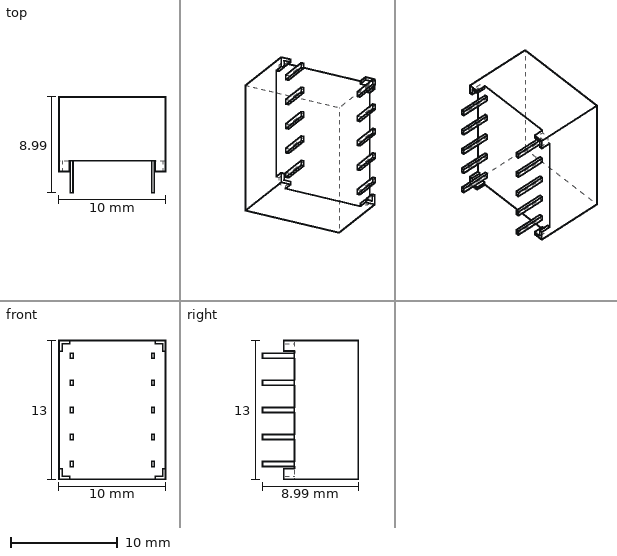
import cadquery as cq

HOUSING_WIDTH = 10.0
HOUSING_HEIGHT = 13.0
HOUSING_DEPTH = 5.99

FOOT_LENGTH = 1.0
FOOT_ARM = 1.0
FOOT_THICKNESS = 0.3

PIN_WIDTH = 0.27
PIN_HEIGHT = 0.5
PIN_LENGTH = 3.0
PINS_PER_COLUMN = 5
PIN_PITCH = 2.54
COLUMN_SPACING = 7.62


def face_box(width, height, length):
    """Box centred on X and Z, from the mounting face toward -Y (toward +Y if length is negative)."""
    return cq.Workplane("XZ").rect(width, height).extrude(length)


def housing_block():
    """Plain rectangular block on the +Y side of the mounting face."""
    return face_box(HOUSING_WIDTH, HOUSING_HEIGHT, -HOUSING_DEPTH)


def corner_feet():
    """Thin rim around the mounting face, kept only at its four corners."""
    rim = face_box(HOUSING_WIDTH, HOUSING_HEIGHT, FOOT_LENGTH)
    inner_width = HOUSING_WIDTH - 2 * FOOT_THICKNESS
    inner_height = HOUSING_HEIGHT - 2 * FOOT_THICKNESS
    inside = face_box(inner_width, inner_height, FOOT_LENGTH)
    upright_gap = face_box(HOUSING_WIDTH, HOUSING_HEIGHT - 2 * FOOT_ARM, FOOT_LENGTH)
    level_gap = face_box(HOUSING_WIDTH - 2 * FOOT_ARM, HOUSING_HEIGHT, FOOT_LENGTH)
    return rim.cut(inside).cut(upright_gap).cut(level_gap)


def pin_rows():
    """Flat pins in a regular grid of two columns."""
    return (
        cq.Workplane("XZ")
        .rarray(COLUMN_SPACING, PIN_PITCH, 2, PINS_PER_COLUMN)
        .rect(PIN_WIDTH, PIN_HEIGHT)
        .extrude(PIN_LENGTH)
    )


housing = housing_block().union(corner_feet()).union(pin_rows())

result = cq.Compound.makeCompound([housing.solids().val()])